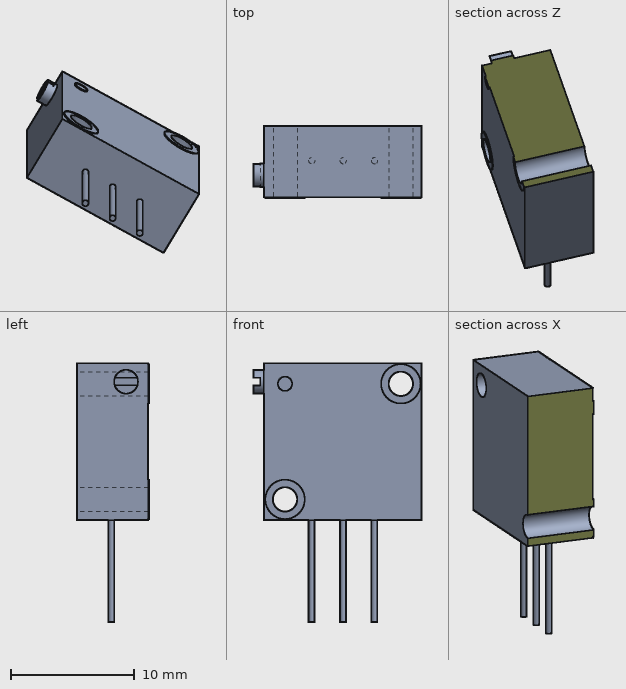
import cadquery as cq

total_width = 13.6
total_depth = 5.85
total_height = 20.95

body_width = 12.75
body_height = 12.7
ring_height = 0.075
body_depth = total_depth - ring_height

left_hole_inset = 1.72
right_hole_inset = 1.68
hole_height_inset = 1.68
hole_diameter = 1.95
ring_diameter = 3.18

mark_diameter = 1.15
mark_height = ring_height

screw_length = total_width - body_width
screw_diameter = 1.93
screw_below_top = 1.5
screw_from_back = 3.98
slot_width = 0.6
slot_depth = 0.55

pin_count = 3
pin_pitch = 2.53
pin_diameter = 0.5
pin_length = total_height - body_height
pin_from_back = 2.79

left_hole_x = left_hole_inset - body_width / 2
right_hole_x = body_width / 2 - right_hole_inset
upper_hole_z = body_height - hole_height_inset
middle_pin_x = (left_hole_x + right_hole_x) / 2
hole_places = [(right_hole_x, upper_hole_z), (left_hole_x, hole_height_inset)]


def disc_on_front(x, z, diameter, height):
    """Disc standing out of the front face toward -Y."""
    front = cq.Workplane("XZ", origin=(x, -body_depth, z))
    return front.circle(diameter / 2).extrude(height)


def make_screw():
    """Slotted screw head; its slot runs along Y."""
    screw_z = body_height - screw_below_top
    left_face = cq.Workplane("YZ", origin=(-body_width / 2, -screw_from_back, screw_z))
    head = left_face.circle(screw_diameter / 2).extrude(-screw_length)
    slot = (
        left_face.workplane(offset=-screw_length)
        .rect(screw_diameter, slot_width)
        .extrude(slot_depth)
    )
    return head.cut(slot)


def make_pin(x):
    """Round terminal pin hanging from the bottom face."""
    bottom = cq.Workplane("XY", origin=(x, -pin_from_back, 0))
    return bottom.circle(pin_diameter / 2).extrude(-pin_length)


result = cq.Workplane("XY").box(body_width, body_depth, body_height, centered=(True, False, False))
result = result.translate((0, -body_depth, 0))

for x, z in hole_places:
    result = result.union(disc_on_front(x, z, ring_diameter, ring_height))

result = result.union(disc_on_front(left_hole_x, upper_hole_z, mark_diameter, mark_height))
result = result.union(make_screw())

for index in range(pin_count):
    pin_x = middle_pin_x + (index - (pin_count - 1) / 2) * pin_pitch
    result = result.union(make_pin(pin_x))

for x, z in hole_places:
    hole = cq.Workplane("XZ", origin=(x, 0, z)).circle(hole_diameter / 2).extrude(total_depth)
    result = result.cut(hole)